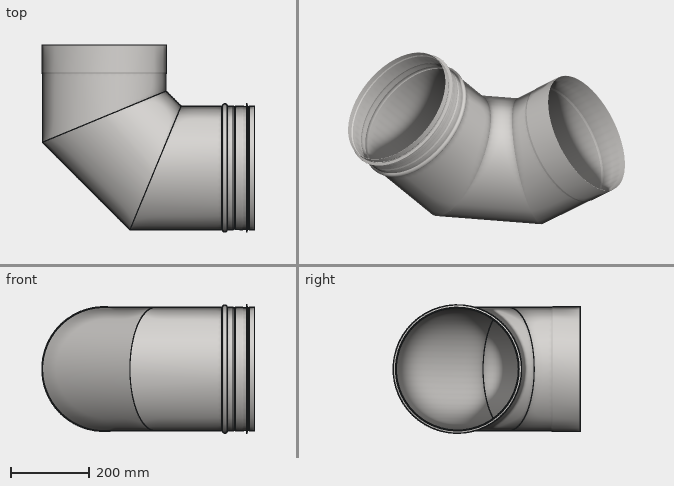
import cadquery as cq
import math


bore_radius = 315.6 / 2
sheet = 0.7
duct_radius = bore_radius + sheet

socket_end = 315.0
spigot_end = 385.1
mitre_distance = 131.3
mitre_angle = 90 / 4
mitre_rise = math.tan(math.radians(mitre_angle))

socket_radius = 160.0
socket_length = 69.5
socket_taper = 5.5

spigot_length = 85.0
bead_setback = 76.4
bead_half_width = 6.4
bead_height = 6.0
floor_bore_radius = 312 / 2
floor_radius = floor_bore_radius + sheet
groove_back = 55.3
floor_back = 51.0
floor_front = 16.0
groove_front = 13.0

seal_back = 48.5
seal_step_back = 39.8
seal_crest_back = 37.5
seal_crest_front = 31.5
seal_strip_back = 28.0
lip_back = 21.0
lip_tip = 20.0
lip_front = 18.0
band_radius = 316.6 / 2
crest_radius = duct_radius
strip_radius = 315.6 / 2
lip_radius = 329.6 / 2

spigot_start = spigot_end - spigot_length
reach = 2 * duct_radius


def from_end(setback):
    """X of a place on the spigot, given its distance back from the open end."""
    return spigot_end - setback


def mitre_offset(radial):
    """Shift of a mitre cut along the leg axis at a distance from that axis towards the inside of the bend."""
    return mitre_distance + radial * mitre_rise


def region(points):
    """Prism over an XY outline, tall enough to contain the duct."""
    return cq.Workplane("XY").polyline(points).close().extrude(reach, both=True)


def make_socket_leg():
    """Tube along Y, widened at its end and mitred where it meets the middle segment."""
    taper_end = socket_end - socket_length
    taper_start = taper_end - socket_taper
    section = [
        (bore_radius, 0),
        (duct_radius, 0),
        (duct_radius, taper_start),
        (socket_radius, taper_end),
        (socket_radius, socket_end),
        (socket_radius - sheet, socket_end),
        (socket_radius - sheet, taper_end),
        (bore_radius, taper_start),
    ]
    tube = cq.Workplane("XY").polyline(section).close().revolve(360, (0, 0, 0), (0, 1, 0))
    kept = region([
        (-reach, mitre_offset(-reach)),
        (reach, mitre_offset(reach)),
        (reach, socket_end),
        (-reach, socket_end),
    ])
    return tube.intersect(kept)


def make_spigot_leg():
    """Plain tube along X, mitred where it meets the middle segment."""
    tube = cq.Workplane("YZ").circle(duct_radius).circle(bore_radius).extrude(spigot_start)
    kept = region([
        (mitre_offset(-reach), -reach),
        (spigot_start, -reach),
        (spigot_start, reach),
        (mitre_offset(reach), reach),
    ])
    return tube.intersect(kept)


def make_middle_segment():
    """Diagonal tube between the two mitre cuts."""
    diagonal = cq.Plane(
        origin=(-reach, mitre_distance + reach, 0),
        xDir=(0, 0, 1),
        normal=(1, -1, 0),
    )
    tube_length = math.sqrt(2) * (mitre_distance + 2 * reach)
    tube = cq.Workplane(diagonal).circle(duct_radius).circle(bore_radius).extrude(tube_length)
    bend_centre = mitre_distance / (1 - mitre_rise)
    kept = region([
        (bend_centre, bend_centre),
        (-reach, mitre_offset(-reach)),
        (mitre_offset(-reach), -reach),
    ])
    return tube.intersect(kept)


def make_spigot():
    """Sheet ring with a rolled stop bead and a shallow rolled groove for the seal."""
    bead_x = from_end(bead_setback)
    inner_half_width = bead_half_width - sheet
    section = (
        cq.Workplane("XY")
        .moveTo(spigot_start, duct_radius)
        .lineTo(bead_x - bead_half_width, duct_radius)
        .threePointArc((bead_x, duct_radius + bead_height), (bead_x + bead_half_width, duct_radius))
        .lineTo(from_end(groove_back), duct_radius)
        .lineTo(from_end(floor_back), floor_radius)
        .lineTo(from_end(floor_front), floor_radius)
        .lineTo(from_end(groove_front), duct_radius)
        .lineTo(spigot_end, duct_radius)
        .lineTo(spigot_end, bore_radius)
        .lineTo(from_end(groove_front), bore_radius)
        .lineTo(from_end(floor_front), floor_bore_radius)
        .lineTo(from_end(floor_back), floor_bore_radius)
        .lineTo(from_end(groove_back), bore_radius)
        .lineTo(bead_x + inner_half_width, bore_radius)
        .threePointArc((bead_x, bore_radius + bead_height), (bead_x - inner_half_width, bore_radius))
        .lineTo(spigot_start, bore_radius)
        .close()
    )
    return section.revolve(360, (0, 0, 0), (1, 0, 0))


def make_seal():
    """Rubber ring: a flat band, a raised crest level with the duct, a thin strip and a tall lip."""
    section = [
        (from_end(seal_back), floor_radius),
        (from_end(seal_back), band_radius),
        (from_end(seal_step_back), band_radius),
        (from_end(seal_crest_back), crest_radius),
        (from_end(seal_crest_front), crest_radius),
        (from_end(seal_strip_back), strip_radius),
        (from_end(lip_back), strip_radius),
        (from_end(lip_back), lip_radius),
        (from_end(lip_tip), lip_radius),
        (from_end(lip_front), strip_radius),
        (from_end(floor_front), strip_radius),
        (from_end(floor_front), floor_radius),
    ]
    return cq.Workplane("XY").polyline(section).close().revolve(360, (0, 0, 0), (1, 0, 0))


socket_leg = make_socket_leg()
middle_segment = make_middle_segment()
spigot_leg = make_spigot_leg()
spigot = make_spigot()
seal = make_seal()

result = cq.Compound.makeCompound([
    socket_leg.val(),
    middle_segment.val(),
    spigot_leg.val(),
    spigot.val(),
    seal.val(),
])